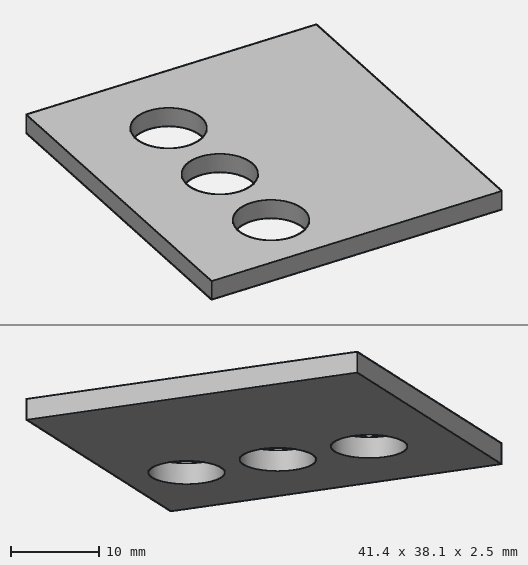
import cadquery as cq

length = 41.4
width = 38.1
thickness = 2.5

hole_diameter = 8.65
hole_count = 3
hole_pitch = 11.43
first_hole_x = 10.7
hole_row_y = 12.4

hole_centers = [
    (first_hole_x + index * hole_pitch, hole_row_y)
    for index in range(hole_count)
]

plate = cq.Workplane("XY").box(length, width, thickness, centered=False)

holes = (
    cq.Workplane("XY")
    .pushPoints(hole_centers)
    .circle(hole_diameter / 2)
    .extrude(thickness)
)

result = plate.cut(holes)